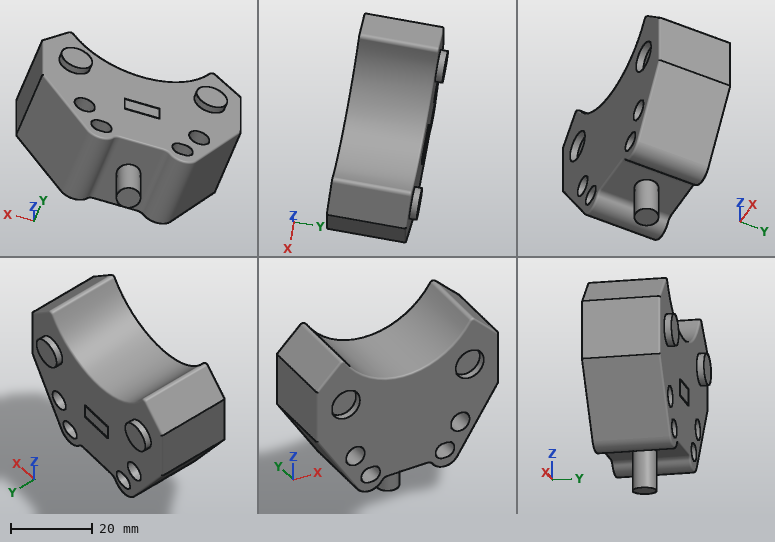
import cadquery as cq
import math

WIDTH = 52.0
DEPTH = 19.95
SIDE_BOTTOM = 17.15
SIDE_TOP = 32.0
SHOULDER_ANGLE = 44.0
EDGE_FILLET = 0.5

SADDLE_RADIUS = 21.0
SADDLE_BOTTOM = 28.5
TIP_FILLET = 1.0

FOOT_X = 10.8
FOOT_RADIUS = 4.25
FOOT_BOTTOM = -2.75
FOOT_BLEND_RADIUS = 2.0

PIN_X = 17.7
PIN_Z = 25.55
PIN_DIAMETER = 8.0
PIN_HEIGHT = 1.8
SEAT_DEPTH = 2.0

HOLE_X = 15.0
HOLE_Z = 9.3
HOLE_DIAMETER = 5.3
SLOT_X = 10.6
SLOT_Z = 2.3
SLOT_LENGTH = 5.35
SLOT_HEIGHT = 4.3

STEM_DIAMETER = 6.0
STEM_LENGTH = 10.05
STEM_EMBED = 2.6

PAD_WIDTH = 9.15
PAD_HEIGHT = 4.15
PAD_Z = 14.55
PAD_THICKNESS = 0.15

HALF_WIDTH = WIDTH / 2


def polar(center, radius, angle):
    """Point at an angle (radians) on a circle in the XZ plane."""
    return (center[0] + radius * math.cos(angle), center[1] + radius * math.sin(angle))


def mirrored(point):
    return (-point[0], point[1])


def front_sketch():
    """XZ workplane on the front face; negative extrusions go toward +Y."""
    return cq.Workplane("XZ")


def back_sketch():
    return cq.Workplane("XZ", origin=(0, DEPTH, 0))


def make_body():
    foot = (FOOT_X, FOOT_BOTTOM + FOOT_RADIUS)
    corner_dx = HALF_WIDTH - foot[0]
    corner_dz = SIDE_BOTTOM - foot[1]
    corner_distance = math.hypot(corner_dx, corner_dz)
    slant_angle = math.atan2(corner_dz, corner_dx) - math.acos(FOOT_RADIUS / corner_distance)
    foot_outer = polar(foot, FOOT_RADIUS, slant_angle)

    blend_dz = -FOOT_BLEND_RADIUS - foot[1]
    blend_dx = math.sqrt((FOOT_RADIUS + FOOT_BLEND_RADIUS) ** 2 - blend_dz**2)
    blend = (foot[0] - blend_dx, -FOOT_BLEND_RADIUS)
    blend_angle = math.atan2(blend_dz, -blend_dx)
    foot_inner = polar(foot, FOOT_RADIUS, blend_angle)
    blend_end = (blend[0], 0)
    blend_middle = polar(blend, FOOT_BLEND_RADIUS, (blend_angle + math.pi * 1.5) / 2)
    foot_lowest = (foot[0], FOOT_BOTTOM)

    ridge = (0, SIDE_TOP + HALF_WIDTH * math.tan(math.radians(SHOULDER_ANGLE)))
    body = (
        front_sketch()
        .moveTo(*ridge)
        .lineTo(HALF_WIDTH, SIDE_TOP)
        .lineTo(HALF_WIDTH, SIDE_BOTTOM)
        .lineTo(*foot_outer)
        .threePointArc(foot_lowest, foot_inner)
        .threePointArc(blend_middle, blend_end)
        .lineTo(*mirrored(blend_end))
        .threePointArc(mirrored(blend_middle), mirrored(foot_inner))
        .threePointArc(mirrored(foot_lowest), mirrored(foot_outer))
        .lineTo(-HALF_WIDTH, SIDE_BOTTOM)
        .lineTo(-HALF_WIDTH, SIDE_TOP)
        .close()
        .extrude(-DEPTH)
    )
    saddle = (
        front_sketch()
        .center(0, SADDLE_BOTTOM + SADDLE_RADIUS)
        .circle(SADDLE_RADIUS)
        .extrude(-DEPTH)
    )
    body = body.cut(saddle)
    body = body.edges("|Y").edges(">Z").fillet(TIP_FILLET)
    return body.faces("<Y or >Y").edges().fillet(EDGE_FILLET)


def pin_discs(sketch, length):
    return sketch.pushPoints([(-PIN_X, PIN_Z), (PIN_X, PIN_Z)]).circle(PIN_DIAMETER / 2).extrude(-length)


def through_openings():
    holes = (
        front_sketch()
        .pushPoints([(-HOLE_X, HOLE_Z), (HOLE_X, HOLE_Z)])
        .circle(HOLE_DIAMETER / 2)
        .extrude(-DEPTH)
    )
    slots = (
        front_sketch()
        .pushPoints([(-SLOT_X, SLOT_Z), (SLOT_X, SLOT_Z)])
        .slot2D(SLOT_LENGTH, SLOT_HEIGHT)
        .extrude(-DEPTH)
    )
    return holes.union(slots)


def make_stem():
    return (
        cq.Workplane("XY", origin=(0, DEPTH / 2, -STEM_LENGTH))
        .circle(STEM_DIAMETER / 2)
        .extrude(STEM_LENGTH + STEM_EMBED)
    )


def make_pad():
    return back_sketch().center(0, PAD_Z).rect(PAD_WIDTH, PAD_HEIGHT).extrude(-PAD_THICKNESS)


result = (
    make_body()
    .cut(pin_discs(front_sketch(), SEAT_DEPTH))
    .cut(through_openings())
    .union(pin_discs(back_sketch(), PIN_HEIGHT))
    .union(make_stem())
    .union(make_pad())
)